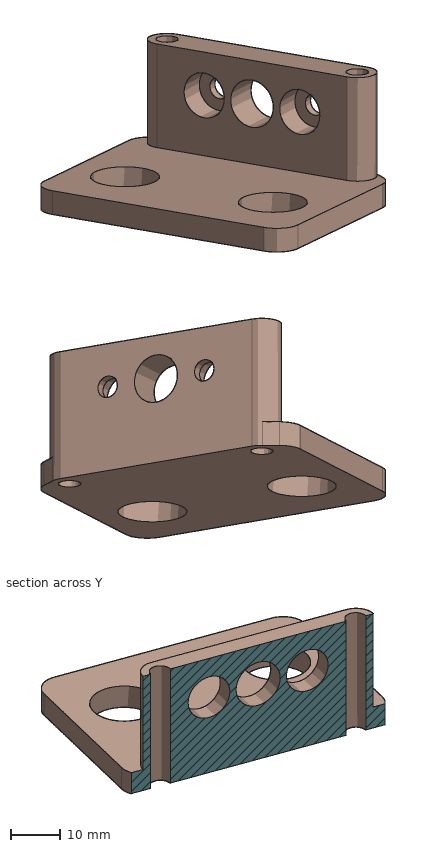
import cadquery as cq
import math

length = 60.0
width = 45.0
plate_thickness = 5.05
corner_radius = 5.0
rear_corner_inset = 6.65
large_hole_diameter = 14.0
large_hole_spacing = 35.0
large_hole_front_offset = 16.0

total_height = 27.0
wall_thickness = 8.05
end_hole_spacing = 45.0
end_hole_diameter = 4.5

row_height = 17.8
center_hole_diameter = 10.0
screw_spacing = 22.6
screw_diameter = 4.5
counterbore_diameter = 9.5
counterbore_depth = 6.0

front = -width / 2
rear = width / 2
wall_radius = wall_thickness / 2
wall_y = rear - wall_radius
wall_front = rear - wall_thickness


def rear_corner_points():
    """Left rear corner: a corner arc joined to the wall's end arc by their common tangent."""
    corner_x = -length / 2 + corner_radius
    corner_y = rear - rear_corner_inset
    end_x = -end_hole_spacing / 2
    distance = math.hypot(end_x - corner_x, wall_y - corner_y)
    center_line_angle = math.atan2(wall_y - corner_y, end_x - corner_x)
    tangent_angle = center_line_angle + math.acos((corner_radius - wall_radius) / distance)

    def on_corner(angle):
        return (corner_x + corner_radius * math.cos(angle), corner_y + corner_radius * math.sin(angle))

    def on_end(angle):
        return (end_x + wall_radius * math.cos(angle), wall_y + wall_radius * math.sin(angle))

    return (
        on_corner(math.pi),
        on_corner((math.pi + tangent_angle) / 2),
        on_corner(tangent_angle),
        on_end(tangent_angle),
        on_end((tangent_angle + math.pi / 2) / 2),
        on_end(math.pi / 2),
    )


def make_plate():
    left = rear_corner_points()
    side, corner_mid, corner_end, end_start, end_mid, back = left
    right = [(-x, y) for x, y in left]
    outline = (
        cq.Workplane("XY")
        .moveTo(-length / 2, front)
        .lineTo(*side)
        .threePointArc(corner_mid, corner_end)
        .lineTo(*end_start)
        .threePointArc(end_mid, back)
        .lineTo(*right[5])
        .threePointArc(right[4], right[3])
        .lineTo(*right[2])
        .threePointArc(right[1], right[0])
        .lineTo(length / 2, front)
        .close()
    )
    plate = outline.extrude(plate_thickness)
    return plate.edges("|Z and <Y").fillet(corner_radius)


def make_wall():
    return (
        cq.Workplane("XY")
        .center(0, wall_y)
        .slot2D(end_hole_spacing + wall_thickness, wall_thickness)
        .extrude(total_height)
    )


def vertical_holes(diameter, spacing, y):
    return (
        cq.Workplane("XY")
        .pushPoints([(-spacing / 2, y), (spacing / 2, y)])
        .circle(diameter / 2)
        .extrude(total_height)
    )


def wall_holes(diameter, x_positions, depth):
    """Cylinders running rearward from the front face of the wall."""
    return (
        cq.Workplane("XZ", origin=(0, wall_front, 0))
        .pushPoints([(x, row_height) for x in x_positions])
        .circle(diameter / 2)
        .extrude(-depth)
    )


screw_positions = [-screw_spacing / 2, screw_spacing / 2]

result = make_plate().union(make_wall())
result = result.cut(vertical_holes(large_hole_diameter, large_hole_spacing, front + large_hole_front_offset))
result = result.cut(vertical_holes(end_hole_diameter, end_hole_spacing, wall_y))
result = result.cut(wall_holes(center_hole_diameter, [0], wall_thickness))
result = result.cut(wall_holes(screw_diameter, screw_positions, wall_thickness))
result = result.cut(wall_holes(counterbore_diameter, screw_positions, counterbore_depth))